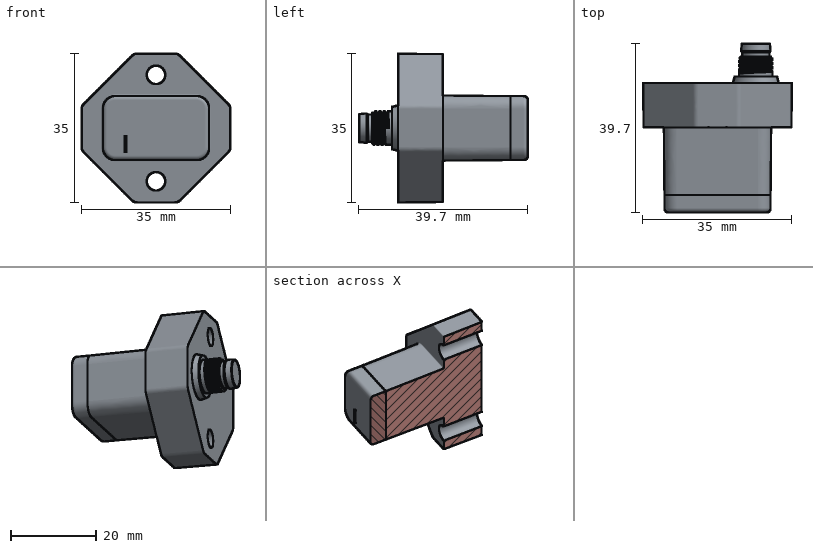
import cadquery as cq
import math

DRAFT_ANGLE = 0.5

PLATE_WIDTH = 35.0
PLATE_THICKNESS = 10.5
PLATE_FLAT_HALF = 5.15
PLATE_CORNER_RADIUS = 1.5
PLATE_EDGE_RADIUS = 0.2
MOUNTING_HOLE_DIAMETER = 4.3
MOUNTING_HOLE_OFFSET = 12.5

HEAD_LENGTH = 20.0
CAP_WIDTH = 25.0
CAP_HEIGHT = 15.1
CAP_LENGTH = 4.13
CAP_CORNER_RADIUS = 2.98
CAP_EDGE_RADIUS = 1.0
NECK_LENGTH = HEAD_LENGTH - CAP_LENGTH
NECK_FLARE = NECK_LENGTH * math.tan(math.radians(DRAFT_ANGLE))
NECK_ROOT_RADIUS = 0.2

MARK_RADIUS = 0.26
MARK_LENGTH = 3.77
MARK_X = -7.2
MARK_Z = -3.77

CONNECTOR_X = 9.0
COLLAR_BASE_RADIUS = 5.4
COLLAR_TOP_RADIUS = 5.0
COLLAR_LENGTH = 1.5

SLEEVE_LENGTH = 4.65
THREAD_MAJOR_RADIUS = 3.97
THREAD_DEPTH = 0.5
THREAD_END_CHAMFER = 0.48
THREAD_PITCH = 1.0
THREAD_START = 1.05
GROOVE_WIDTH = 0.8
FLANK_ANGLE = 30

TIP_LENGTH = 3.05
TIP_NECK_RADIUS = 3.2
TIP_BEAD_RADIUS = 3.45
TIP_END_RADIUS = 3.35
TIP_END_CHAMFER = 0.1
BEAD_START = 0.95
BEAD_FULL_START = 1.35
BEAD_FULL_END = 1.75

PLATE_FRONT_Y = -PLATE_THICKNESS
CAP_BACK_Y = PLATE_FRONT_Y - NECK_LENGTH
CAP_FRONT_Y = PLATE_FRONT_Y - HEAD_LENGTH
SLEEVE_BASE_Y = COLLAR_LENGTH
TIP_BASE_Y = SLEEVE_BASE_Y + SLEEVE_LENGTH


def front_plane(y):
    """Sketch plane facing -Y at the given Y, with local x = X and local y = Z."""
    return cq.Workplane("XZ", origin=(0, y, 0))


def connector_at(y, body):
    """Move a body built along +Z from the origin onto the connector axis, base at Y = y."""
    return body.rotate((0, 0, 0), (1, 0, 0), -90).translate((CONNECTOR_X, y, 0))


def make_plate():
    half = PLATE_WIDTH / 2
    flat = PLATE_FLAT_HALF
    outline = [
        (half, -flat), (half, flat), (flat, half), (-flat, half),
        (-half, flat), (-half, -flat), (-flat, -half), (flat, -half),
    ]
    rounded_outline = cq.Sketch().polygon([*outline, outline[0]])
    rounded_outline = rounded_outline.vertices().fillet(PLATE_CORNER_RADIUS)
    plate = front_plane(0).placeSketch(rounded_outline).extrude(PLATE_THICKNESS, taper=DRAFT_ANGLE)
    return plate.faces("<Y").edges().fillet(PLATE_EDGE_RADIUS)


def make_neck():
    """Drafted neck, widest at the plate, ending flush with the cap outline."""
    root_outline = cq.Sketch().rect(CAP_WIDTH + 2 * NECK_FLARE, CAP_HEIGHT + 2 * NECK_FLARE)
    root_outline = root_outline.vertices().fillet(CAP_CORNER_RADIUS + NECK_FLARE)
    return front_plane(PLATE_FRONT_Y).placeSketch(root_outline).extrude(NECK_LENGTH, taper=DRAFT_ANGLE)


def make_housing():
    housing = make_plate().union(make_neck())
    neck_half_width = CAP_WIDTH / 2 + 2 * NECK_FLARE
    neck_half_height = CAP_HEIGHT / 2 + 2 * NECK_FLARE
    root_region = cq.selectors.BoxSelector(
        (-neck_half_width, PLATE_FRONT_Y - NECK_ROOT_RADIUS, -neck_half_height),
        (neck_half_width, PLATE_FRONT_Y + NECK_ROOT_RADIUS, neck_half_height),
    )
    housing = housing.edges(root_region).fillet(NECK_ROOT_RADIUS)
    holes = front_plane(0).pushPoints([(0, MOUNTING_HOLE_OFFSET), (0, -MOUNTING_HOLE_OFFSET)])
    return housing.cut(holes.circle(MOUNTING_HOLE_DIAMETER / 2).extrude(PLATE_THICKNESS))


def make_cap():
    outline = cq.Sketch().rect(CAP_WIDTH, CAP_HEIGHT).vertices().fillet(CAP_CORNER_RADIUS)
    cap = front_plane(CAP_BACK_Y).placeSketch(outline).extrude(CAP_LENGTH)
    cap = cap.faces("<Y").edges().fillet(CAP_EDGE_RADIUS)
    mark = cq.Workplane("XY", origin=(MARK_X, CAP_FRONT_Y, MARK_Z - MARK_LENGTH / 2))
    return cap.cut(mark.circle(MARK_RADIUS).extrude(MARK_LENGTH))


def make_collar():
    profile = [(0, 0), (COLLAR_BASE_RADIUS, 0), (COLLAR_TOP_RADIUS, COLLAR_LENGTH), (0, COLLAR_LENGTH)]
    collar = cq.Workplane("XZ").polyline(profile).close().revolve(360, (0, 0), (0, 1))
    return connector_at(0, collar)


def make_thread_groove():
    """Right-handed helical groove starting on the +X side and running out at the sleeve end."""
    clearance = 0.08
    flank_slope = math.tan(math.radians(FLANK_ANGLE))
    outer_half = GROOVE_WIDTH / 2 + clearance * flank_slope
    root_half = GROOVE_WIDTH / 2 - THREAD_DEPTH * flank_slope
    root_radius = THREAD_MAJOR_RADIUS - THREAD_DEPTH
    outer_radius = THREAD_MAJOR_RADIUS + clearance
    helix_height = SLEEVE_LENGTH - THREAD_START + THREAD_PITCH / 2
    helix = cq.Wire.makeHelix(THREAD_PITCH, helix_height, root_radius)
    profile = [
        (root_radius, -root_half), (outer_radius, -outer_half),
        (outer_radius, outer_half), (root_radius, root_half),
    ]
    groove = cq.Workplane("XZ").polyline(profile).close().sweep(cq.Workplane(helix), isFrenet=True)
    return groove.translate((0, 0, THREAD_START))


def make_sleeve():
    sleeve = cq.Workplane("XY").circle(THREAD_MAJOR_RADIUS).extrude(SLEEVE_LENGTH)
    sleeve = sleeve.faces(">Z").edges().chamfer(THREAD_END_CHAMFER)
    sleeve = sleeve.cut(make_thread_groove())
    sleeve = sleeve.rotate((0, 0, 0), (0, 0, 1), 180)
    return connector_at(SLEEVE_BASE_Y, sleeve)


def make_tip():
    """Snap-in tip: neck, locking bead and a slightly conical nose."""
    profile = [
        (0, 0),
        (TIP_NECK_RADIUS, 0),
        (TIP_NECK_RADIUS, BEAD_START),
        (TIP_BEAD_RADIUS, BEAD_FULL_START),
        (TIP_BEAD_RADIUS, BEAD_FULL_END),
        (TIP_END_RADIUS, TIP_LENGTH - TIP_END_CHAMFER),
        (TIP_END_RADIUS - TIP_END_CHAMFER, TIP_LENGTH),
        (0, TIP_LENGTH),
    ]
    tip = cq.Workplane("XZ").polyline(profile).close().revolve(360, (0, 0), (0, 1))
    return connector_at(TIP_BASE_Y, tip)


housing = make_housing()
cap = make_cap()
collar = make_collar()
sleeve = make_sleeve()
tip = make_tip()

result = cq.Compound.makeCompound([housing.val(), cap.val(), collar.val(), sleeve.val(), tip.val()])